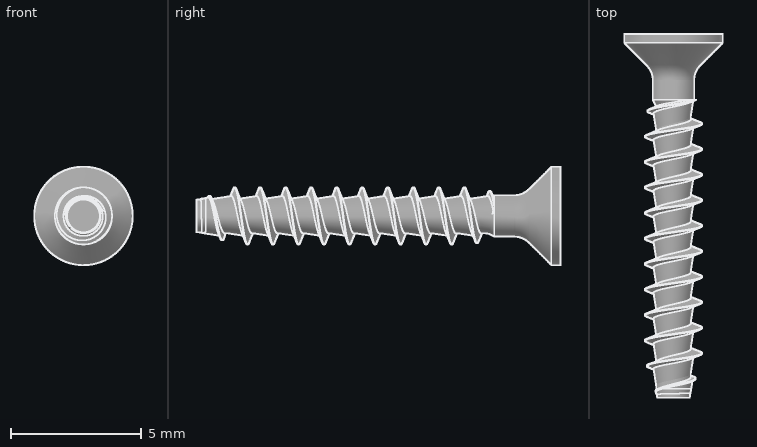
import cadquery as cq
import math


length = 14.0
head_radius = 1.9
head_rim = 0.35
cone_angle = 45.0
neck_fillet = 0.8
shank_radius = 0.8
shank_end = 2.54
shank_taper_end = 2.8

core_radius = 0.67
tip_radius = 0.63
tip_taper_depth = 13.6

pitch = 0.981
crest_radius = 1.1
crest_width = 0.03
flank_angle = 20.0
foot_radius = 0.665
first_full_depth = 3.455
lead_in_slope = 0.19
lead_out_depth = 12.55
lead_out_slope = 0.34

band_radius = 0.77
band_angle = 9.0
band_fade_depth = 13.05
band_fade_slope = 0.13

points_per_turn = 24
lead_in_start = -1.7
middle_stretch = 3
lead_out_start = (lead_out_depth - first_full_depth) / pitch
crest_end_depth = lead_out_depth + (crest_radius - core_radius) / lead_out_slope
lead_out_end = (crest_end_depth - first_full_depth) / pitch


def make_body():
    """Head, neck, shank and bare core as one turned shape."""
    half_angle = math.radians(cone_angle / 2)
    tangent = neck_fillet * math.tan(half_angle)
    cone_end = head_rim + (head_radius - shank_radius) / math.tan(2 * half_angle)
    fillet_end = cone_end + tangent
    fillet_start_radius = shank_radius + tangent * math.sin(2 * half_angle)
    fillet_start = cone_end - tangent * math.cos(2 * half_angle)
    fillet_mid_radius = shank_radius + neck_fillet * (1 - math.cos(half_angle))
    fillet_mid = fillet_end - neck_fillet * math.sin(half_angle)
    outline = (
        cq.Workplane("XY")
        .lineTo(head_radius, 0)
        .lineTo(head_radius, -head_rim)
        .lineTo(fillet_start_radius, -fillet_start)
        .threePointArc((fillet_mid_radius, -fillet_mid), (shank_radius, -fillet_end))
        .lineTo(shank_radius, -shank_end)
        .lineTo(core_radius, -shank_taper_end)
        .lineTo(core_radius, -tip_taper_depth)
        .lineTo(tip_radius, -length)
        .lineTo(0, -length)
        .close()
    )
    return outline.revolve(360, (0, 0, 0), (0, 1, 0))


def thread_profile(depth):
    """Corners (radius, shift along the axis) of the ridge and its band at a crest depth."""
    lead_in = max(0.0, first_full_depth - depth) * lead_in_slope
    lead_out = max(0.0, depth - lead_out_depth) * lead_out_slope
    crest = crest_radius - lead_in - lead_out
    wide = band_radius - max(0.0, depth - band_fade_depth) * band_fade_slope
    flank_slope = math.tan(math.radians(flank_angle))
    half_crest = crest_width / 2
    half_foot = half_crest + (crest - foot_radius) * flank_slope
    band_start = half_crest + (crest - wide) * flank_slope
    band_end = band_start + (wide - foot_radius) / math.tan(math.radians(band_angle))
    return [
        (foot_radius, -half_foot),
        (crest, -half_crest),
        (crest, half_crest),
        (wide, band_start),
        (foot_radius, band_end),
    ]


def profile_corners(turn):
    """The thread's profile placed at a number of turns past the first full crest."""
    angle = 2 * math.pi * turn
    depth = first_full_depth + pitch * turn
    return [
        cq.Vector(radius * math.cos(angle), -depth - shift, radius * math.sin(angle))
        for radius, shift in thread_profile(depth)
    ]


def thread_stretch(first_turn, last_turn):
    """Solid between two turns: ruled faces between the helices that the corners follow."""
    steps = math.ceil((last_turn - first_turn) * points_per_turn)
    step = (last_turn - first_turn) / steps
    profiles = [profile_corners(first_turn + i * step) for i in range(steps + 1)]
    rails = [cq.Edge.makeSpline(list(points)) for points in zip(*profiles)]
    faces = [cq.Face.makeRuledSurface(a, b) for a, b in zip(rails, rails[1:] + rails[:1])]
    for end in (profiles[0], profiles[-1]):
        faces.append(cq.Face.makeFromWires(cq.Wire.makePolygon(end, close=True)))
    return cq.Workplane(cq.Solid.makeSolid(cq.Shell.makeShell(faces)))


def make_thread():
    """Stretches of thread; the lead-in and lead-out are cut flat at the shank and the tip."""
    zone = (
        cq.Workplane("XZ", origin=(0, -shank_end, 0))
        .circle(head_radius)
        .extrude(length - shank_end)
    )
    stretches = [thread_stretch(lead_in_start, 0).intersect(zone)]
    for first in range(0, math.floor(lead_out_start), middle_stretch):
        last = first + middle_stretch
        stretches.append(thread_stretch(first, last))
    stretches.append(thread_stretch(last, lead_out_end).intersect(zone))
    return stretches


screw = make_body()
for stretch in make_thread():
    screw = screw.union(stretch)
result = cq.Workplane(screw.solids().val())